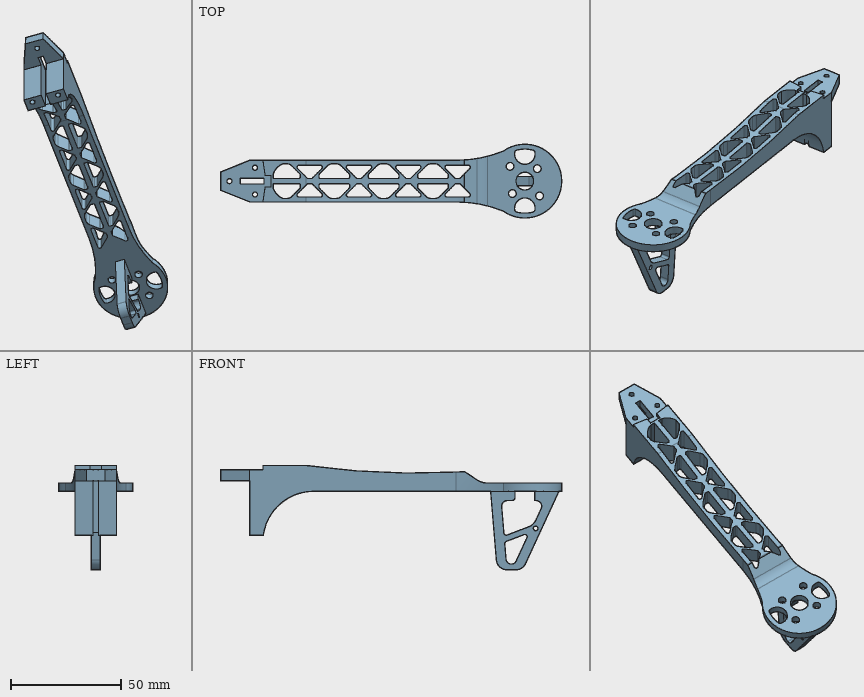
import cadquery as cq
import math


total_length = 155.0
beam_width = 19.0
beam_height = 11.85
leg_depth = 35.65
half_width = beam_width / 2

nose_tip_width = 8.4
nose_bottom = 4.75
nose_top = 9.95
column_x = 13.2
column_depth = 20.0
column_arc_radius = 23.0
column_arc_end_x = 42.2
step_side_x = 19.2
step_center_x = 20.2
notch_end_x = 22.9
notch_width = 5.2
slot_start_x = 9.0
slot_end_x = 19.6
slot_width = 2.4
screw_diameter = 2.2
front_screw_x = 4.0
rear_screw_x = 15.6
rear_screw_y = 6.1

hollow_start_x = 38.8
hollow_low_x = 88.5
hollow_radius = 357.0
ramp_start_x = 110.3
ramp_flat = 0.5
ramp_angle = 33.5
ramp_fillet = 8.5

mount_radius = 33.64 / 2
mount_thickness = 3.85
mount_x = total_length - mount_radius
neck_start_x = 107.0
neck_end_x = 128.4
shaft_hole_diameter = 8.0
motor_screw_diameter = 3.4
small_bolt_circle = 16.0
large_bolt_circle = 19.0
vent_radius = 4.6
vent_center_y = 12.3
vent_outer_radius = 14.5
vent_corner_radius = 1.0

cell_pitch = 22.4
cell_count = 4
first_wide_x = 29.25
web_half = 1.2
wide_half_length = 6.9
wide_side_height = 3.1
wide_top_y = 7.8
wide_top_radius = 3.0
narrow_tip_half = 1.0
narrow_top_y = 7.2
narrow_corner_radius = 0.9
truss_corner_radius = 0.6
end_window_x = 23.9
end_arc_top_x = 28.2
end_arc_radius = 7.5

leg_width = 4.3
leg_front_x = 122.6
leg_front_slope = 0.083
leg_back_x = 153.7
leg_back_slope = 0.462
leg_corner_radius = 5.0
leg_wall = 4.55
lower_back_wall = 4.9
leg_hole_x = 143.1
leg_hole_z = -16.8
leg_hole_diameter = 2.0
gap_half_length = 4.4
gap_lip_depth = 4.2
gap_lip_radius = 1.5
brace_slope = 0.382
brace_x = 129.5
brace_top_z = -20.0
brace_bottom_z = -22.85
brace_bend_radius = 5.5
upper_top_radius = 2.5
lower_window_floor = -32.9
leg_tight_radius = 1.0
lower_floor_radius = 2.1

through = 2 * (beam_height + leg_depth)


def vertical_cutter(sketch_at_zero):
    """Extrude a plan outline both ways so that it cuts through in Z."""
    return sketch_at_zero.extrude(through, both=True)


def hole_cutter(x, y, diameter):
    return vertical_cutter(cq.Workplane("XY").center(x, y).circle(diameter / 2))


def round_edges_near(solid, direction, radius, points):
    """Fillet the edges parallel to direction that lie nearest to each point."""
    for point in points:
        selector = cq.selectors.NearestToPointSelector(point)
        solid = solid.edges(direction).edges(selector).fillet(radius)
    return solid


def hollow_z(x):
    """Height of the hollowed beam top at x."""
    low_center_z = beam_height + math.sqrt(hollow_radius**2 - (hollow_low_x - hollow_start_x) ** 2)
    return low_center_z - math.sqrt(hollow_radius**2 - (x - hollow_low_x) ** 2)


def side_profile():
    """Side outline of the arm and mount, extruded to the full mount width."""
    ramp_z = hollow_z(ramp_start_x)
    ramp_top_x = ramp_start_x + ramp_flat
    ramp_end_x = ramp_top_x + (ramp_z - mount_thickness) / math.tan(math.radians(ramp_angle))
    arc_drop = column_arc_radius - column_depth
    arc_foot_x = column_arc_end_x - math.sqrt(column_arc_radius**2 - arc_drop**2)
    arc_reach = column_arc_radius * math.sin(math.radians(45))
    arc_middle = (column_arc_end_x - arc_reach, arc_reach - column_arc_radius)
    arm = (
        cq.Workplane("XZ")
        .moveTo(column_x, -column_depth)
        .lineTo(column_x, beam_height)
        .lineTo(hollow_start_x, beam_height)
        .threePointArc((hollow_low_x, hollow_z(hollow_low_x)), (ramp_start_x, ramp_z))
        .lineTo(ramp_top_x, ramp_z)
        .lineTo(ramp_end_x, mount_thickness)
        .lineTo(total_length, mount_thickness)
        .lineTo(total_length, 0)
        .lineTo(column_arc_end_x, 0)
        .threePointArc(arc_middle, (arc_foot_x, -column_depth))
        .close()
        .extrude(mount_radius, both=True)
    )
    return round_edges_near(arm, "|Y", ramp_fillet, [(ramp_end_x, 0, mount_thickness)])


def plan_outline():
    """Beam, flared neck and round motor mount seen from above."""
    neck_end_y = math.sqrt(mount_radius**2 - (mount_x - neck_end_x) ** 2)
    flare = neck_end_y - half_width
    neck_radius = ((neck_end_x - neck_start_x) ** 2 + flare**2) / (2 * flare)
    return vertical_cutter(
        cq.Workplane("XY")
        .moveTo(column_x, -half_width)
        .lineTo(neck_start_x, -half_width)
        .radiusArc((neck_end_x, -neck_end_y), neck_radius)
        .threePointArc((total_length, 0), (neck_end_x, neck_end_y))
        .radiusArc((neck_start_x, half_width), neck_radius)
        .lineTo(column_x, half_width)
        .close()
    )


def nose():
    tip_half = nose_tip_width / 2
    outline = [
        (0, -tip_half),
        (column_x, -half_width),
        (column_x, half_width),
        (0, tip_half),
    ]
    plate = cq.Workplane("XY").workplane(offset=nose_bottom).polyline(outline).close()
    return plate.extrude(nose_top - nose_bottom)


def nose_step():
    """Recess that carries the nose top back to a slanted step with a square notch."""
    notch_half = notch_width / 2
    outline = [
        (0, -half_width),
        (step_side_x, -half_width),
        (step_center_x, -notch_half),
        (notch_end_x, -notch_half),
        (notch_end_x, notch_half),
        (step_center_x, notch_half),
        (step_side_x, half_width),
        (0, half_width),
    ]
    recess = cq.Workplane("XY").workplane(offset=nose_top).polyline(outline).close()
    return recess.extrude(beam_height)


def nose_openings():
    slot_length = slot_end_x - slot_start_x
    slot_x = (slot_start_x + slot_end_x) / 2
    openings = vertical_cutter(cq.Workplane("XY").center(slot_x, 0).rect(slot_length, slot_width))
    screws = [(front_screw_x, 0), (rear_screw_x, rear_screw_y), (rear_screw_x, -rear_screw_y)]
    for x, y in screws:
        openings = openings.union(hole_cutter(x, y, screw_diameter))
    return openings


def wide_window(x):
    """Five-sided window with 45 degree shoulders on the +Y side."""
    top_half = wide_half_length - (wide_top_y - wide_side_height)
    window = vertical_cutter(
        cq.Workplane("XY")
        .moveTo(x - wide_half_length, web_half)
        .lineTo(x + wide_half_length, web_half)
        .lineTo(x + wide_half_length, wide_side_height)
        .lineTo(x + top_half, wide_top_y)
        .lineTo(x - top_half, wide_top_y)
        .lineTo(x - wide_half_length, wide_side_height)
        .close()
    )
    top_corners = [(x + side * top_half, wide_top_y, 0) for side in (-1, 1)]
    side_corners = []
    for side in (-1, 1):
        for y in (web_half, wide_side_height):
            side_corners.append((x + side * wide_half_length, y, 0))
    window = round_edges_near(window, "|Z", wide_top_radius, top_corners)
    return round_edges_near(window, "|Z", truss_corner_radius, side_corners)


def end_window_limit():
    """Region behind the bowed front wall of the first wide window."""
    return vertical_cutter(
        cq.Workplane("XY")
        .moveTo(end_window_x, 0)
        .lineTo(end_window_x, wide_side_height)
        .radiusArc((end_arc_top_x, wide_top_y), end_arc_radius)
        .lineTo(first_wide_x + wide_half_length, wide_top_y)
        .lineTo(first_wide_x + wide_half_length, 0)
        .close()
    )


def first_window():
    """First wide window: its rear half matches the others, its front is bowed."""
    rear_half = wide_window(first_wide_x).intersect(end_window_limit())
    filler = vertical_cutter(
        cq.Workplane("XY")
        .moveTo(end_window_x, web_half)
        .lineTo(first_wide_x, web_half)
        .lineTo(first_wide_x, wide_top_y)
        .lineTo(end_window_x, wide_top_y)
        .close()
    )
    return rear_half.union(filler.intersect(end_window_limit()))


def narrow_window(x):
    """Triangle with 45 degree sides and its blunt tip at the center web."""
    top_half = narrow_tip_half + narrow_top_y - web_half
    outline = [
        (x - narrow_tip_half, web_half),
        (x + narrow_tip_half, web_half),
        (x + top_half, narrow_top_y),
        (x - top_half, narrow_top_y),
    ]
    window = vertical_cutter(cq.Workplane("XY").polyline(outline).close())
    corners = [(x + side * top_half, narrow_top_y, 0) for side in (-1, 1)]
    return round_edges_near(window, "|Z", narrow_corner_radius, corners)


def truss_windows():
    windows = first_window()
    for cell in range(cell_count):
        wide_x = first_wide_x + cell * cell_pitch
        if cell > 0:
            windows = windows.union(wide_window(wide_x))
        windows = windows.union(narrow_window(wide_x + cell_pitch / 2))
    return windows.union(windows.mirror("XZ"))


def mount_openings():
    openings = hole_cutter(mount_x, 0, shaft_hole_diameter)
    bolt_angles = [
        (small_bolt_circle, 45),
        (small_bolt_circle, 225),
        (large_bolt_circle, 135),
        (large_bolt_circle, 315),
    ]
    for circle, angle in bolt_angles:
        x = mount_x + circle / 2 * math.cos(math.radians(angle))
        y = circle / 2 * math.sin(math.radians(angle))
        openings = openings.union(hole_cutter(x, y, motor_screw_diameter))
    vent = hole_cutter(mount_x, vent_center_y, 2 * vent_radius)
    vent = vent.intersect(hole_cutter(mount_x, 0, 2 * vent_outer_radius))
    vent = vent.edges("|Z").fillet(vent_corner_radius)
    return openings.union(vent).union(vent.mirror("XZ"))


def leg_front(z):
    return leg_front_x - leg_front_slope * z


def leg_back(z):
    return leg_back_x + leg_back_slope * z


def leg_prism(outline):
    return cq.Workplane("XZ").polyline(outline).close().extrude(leg_width / 2, both=True)


def window_front_corner(brace_z):
    """Where the front wall meets a brace edge that is at brace_z when X = brace_x."""
    base = leg_front_x + leg_wall
    z = (brace_z + brace_slope * (base - brace_x)) / (1 + brace_slope * leg_front_slope)
    return (base - leg_front_slope * z, z)


def window_back_corner(brace_z, wall):
    """Where a back wall of that thickness meets a brace edge at brace_z when X = brace_x."""
    base = leg_back_x - wall
    z = (brace_z + brace_slope * (base - brace_x)) / (1 - brace_slope * leg_back_slope)
    return (base + leg_back_slope * z, z)


def at_mid_plane(corner):
    return (corner[0], 0, corner[1])


def upper_leg_window():
    """Window above the brace, open to the mount through a narrower gap."""
    lip_z = -gap_lip_depth
    gap_front = mount_x - gap_half_length
    gap_back = mount_x + gap_half_length
    top_front = (leg_front(lip_z) + leg_wall, lip_z)
    top_back = (leg_back(lip_z) - leg_wall, lip_z)
    low_front = window_front_corner(brace_top_z)
    low_back = window_back_corner(brace_top_z, leg_wall)
    lip_front = (gap_front, lip_z)
    outline = [
        (gap_front, 0),
        lip_front,
        top_front,
        low_front,
        low_back,
        top_back,
        (gap_back, lip_z),
        (gap_back, 0),
    ]
    window = leg_prism(outline)
    top_corners = [at_mid_plane(top_front), at_mid_plane(top_back)]
    tight_corners = [at_mid_plane(low_front)]
    window = round_edges_near(window, "|Y", upper_top_radius, top_corners)
    window = round_edges_near(window, "|Y", leg_tight_radius, tight_corners)
    window = round_edges_near(window, "|Y", gap_lip_radius, [at_mid_plane(lip_front)])
    return round_edges_near(window, "|Y", brace_bend_radius, [at_mid_plane(low_back)])


def lower_leg_window():
    """Window between the brace and the foot."""
    floor_front = (leg_front(lower_window_floor) + leg_wall, lower_window_floor)
    floor_back = (leg_back(lower_window_floor) - lower_back_wall, lower_window_floor)
    top_front = window_front_corner(brace_bottom_z)
    top_back = window_back_corner(brace_bottom_z, lower_back_wall)
    window = leg_prism([floor_front, floor_back, top_back, top_front])
    floor_corners = [at_mid_plane(floor_front), at_mid_plane(floor_back)]
    top_corners = [at_mid_plane(top_front), at_mid_plane(top_back)]
    window = round_edges_near(window, "|Y", lower_floor_radius, floor_corners)
    return round_edges_near(window, "|Y", leg_tight_radius, top_corners)


def landing_leg():
    foot_z = -leg_depth
    outline = [
        (leg_front(0), 0),
        (leg_front(foot_z), foot_z),
        (leg_back(foot_z), foot_z),
        (leg_back(0), 0),
    ]
    leg = leg_prism(outline).faces("<Z").edges("|Y").fillet(leg_corner_radius)
    pin_hole = (
        cq.Workplane("XZ")
        .center(leg_hole_x, leg_hole_z)
        .circle(leg_hole_diameter / 2)
        .extrude(leg_width, both=True)
    )
    return leg.cut(upper_leg_window()).cut(lower_leg_window()).cut(pin_hole)


arm = side_profile().intersect(plan_outline())
arm = arm.union(nose())
arm = arm.cut(nose_step())
arm = arm.cut(nose_openings())
arm = arm.cut(truss_windows())
arm = arm.cut(mount_openings())
result = arm.union(landing_leg())